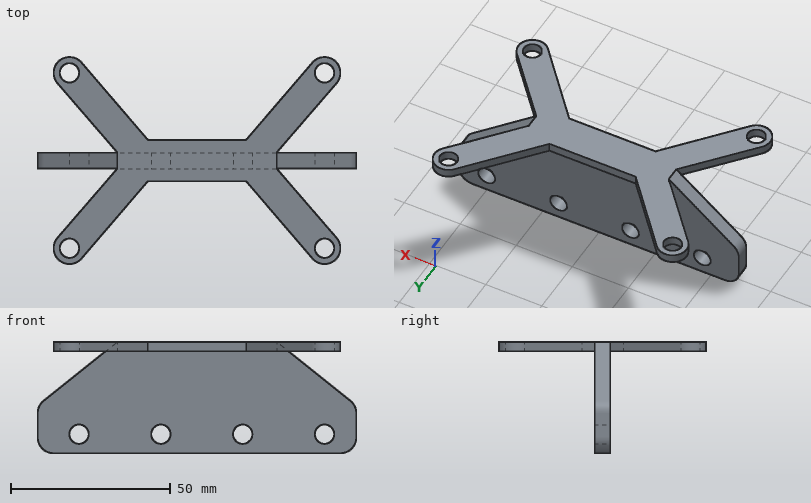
import cadquery as cq
import math

length = 100.0
height = 35.0

wall_thickness = 5.0
wall_top_length = 50.0
shoulder_height = 15.0
corner_radius = 5.0

hole_diameter = 6.0
wall_hole_height = 6.0
first_wall_hole_x = -37.0
last_wall_hole_x = 40.0
wall_hole_count = 4

plate_thickness = 3.0
arm_hole_x = 40.0
arm_hole_y = 27.5
arm_radius = 5.0
waist_half_length = 15.4
waist_half_width = 6.5


def make_wall():
    """Plate with sloping shoulders and rounded outer corners."""
    half_length = length / 2
    half_top = wall_top_length / 2
    wall = (
        cq.Workplane("XZ", origin=(0, wall_thickness / 2, 0))
        .polyline([
            (-half_length, 0),
            (half_length, 0),
            (half_length, shoulder_height),
            (half_top, height),
            (-half_top, height),
            (-half_length, shoulder_height),
        ])
        .close()
        .extrude(wall_thickness)
    )
    wall = wall.edges("|Y and (<X or >X)").fillet(corner_radius)

    pitch = (last_wall_hole_x - first_wall_hole_x) / (wall_hole_count - 1)
    centres = [(first_wall_hole_x + i * pitch, wall_hole_height) for i in range(wall_hole_count)]
    holes = (
        cq.Workplane("XZ", origin=(0, wall_thickness / 2, 0))
        .pushPoints(centres)
        .circle(hole_diameter / 2)
        .extrude(wall_thickness)
    )
    return wall.cut(holes)


def tangent_point(point, side):
    """Where a line from point touches the arm's round tip; side is +1 or -1."""
    dx = point[0] - arm_hole_x
    dy = point[1] - arm_hole_y
    angle = math.atan2(dy, dx) + side * math.acos(arm_radius / math.hypot(dx, dy))
    return (arm_hole_x + arm_radius * math.cos(angle), arm_hole_y + arm_radius * math.sin(angle))


def make_arm_quarter():
    """Quarter of the plate in +X +Y: half the waist and one round-ended arm."""
    crotch = (wall_top_length / 2, wall_thickness / 2)
    waist_corner = (waist_half_length, waist_half_width)
    tip_angle = math.atan2(arm_hole_y - crotch[1], arm_hole_x - waist_half_length)
    tip = (
        arm_hole_x + arm_radius * math.cos(tip_angle),
        arm_hole_y + arm_radius * math.sin(tip_angle),
    )
    return (
        cq.Workplane("XY", origin=(0, 0, height - plate_thickness))
        .lineTo(crotch[0], 0)
        .lineTo(*crotch)
        .lineTo(*tangent_point(crotch, 1))
        .threePointArc(tip, tangent_point(waist_corner, -1))
        .lineTo(*waist_corner)
        .lineTo(0, waist_half_width)
        .close()
        .extrude(plate_thickness)
    )


def make_plate():
    """Mirror the quarter about both centre planes and drill the arm tips."""
    quarter = make_arm_quarter()
    half = quarter.union(quarter.mirror("YZ"))
    plate = half.union(half.mirror("XZ"))
    return (
        plate.faces(">Z")
        .workplane(origin=(0, 0, height))
        .rect(2 * arm_hole_x, 2 * arm_hole_y, forConstruction=True)
        .vertices()
        .hole(hole_diameter)
    )


result = make_wall().union(make_plate()).clean()